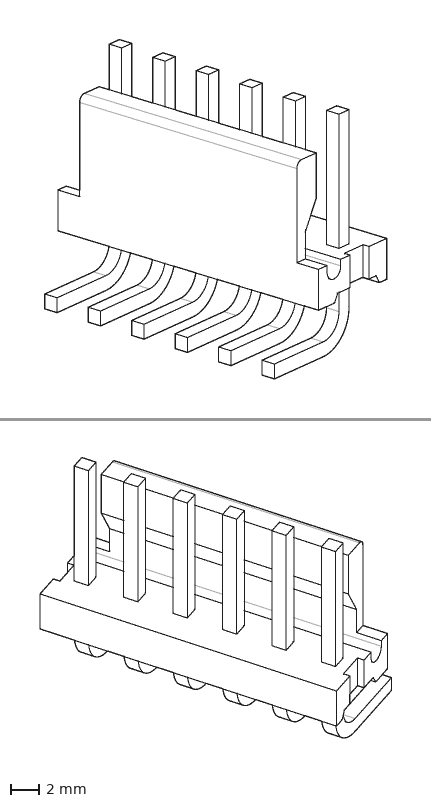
import cadquery as cq


length = 23.77
pin_count = 6
pitch = length / pin_count
pin_size = 1.15
pin_distance = 3.05
pin_top_z = 13.3
pin_height = 17.9
pin_reach = 10.8
bend_inner_radius = 1.75

base_depth = 7.6
base_height = 3.11
recess_height = 0.65
back_foot_bottom = 0.83
back_foot_top = 1.2
front_foot_bottom = 1.78
front_foot_top = 2.15

notch_width = 2.1
notch_depth = 0.52

wall_top_z = 10.8
wall_length = length - pitch
neck_thickness = 0.95
head_thickness = 2.19
head_height = 3.42
ramp_height = 2.2
wall_round = 0.52

groove_width = 1.52
groove_depth = 1.25

front_y = -base_depth
neck_y = front_y + neck_thickness
groove_back_y = neck_y + groove_width
pin_y = -pin_distance


def extrude_along_row(profile, width):
    """Extrude a closed YZ profile to the given width, centred on X = 0."""
    return profile.extrude(width / 2, both=True)


def make_base():
    groove_radius = groove_width / 2
    groove_centre_z = base_height - groove_depth + groove_radius
    profile = (
        cq.Workplane("YZ")
        .moveTo(0, 0)
        .lineTo(0, base_height)
        .lineTo(groove_back_y, base_height)
        .lineTo(groove_back_y, groove_centre_z)
        .threePointArc((neck_y + groove_radius, base_height - groove_depth), (neck_y, groove_centre_z))
        .lineTo(neck_y, base_height)
        .lineTo(front_y, base_height)
        .lineTo(front_y, 0)
        .lineTo(front_y + front_foot_bottom, 0)
        .lineTo(front_y + front_foot_top, recess_height)
        .lineTo(-back_foot_top, recess_height)
        .lineTo(-back_foot_bottom, 0)
        .close()
    )
    base = extrude_along_row(profile, length)
    end_notches = (
        cq.Workplane("XY")
        .pushPoints([(-length / 2, pin_y), (length / 2, pin_y)])
        .rect(2 * notch_depth, notch_width)
        .extrude(base_height)
    )
    return base.cut(end_notches)


def make_wall():
    head_y = front_y + head_thickness
    head_bottom_z = wall_top_z - head_height
    profile = (
        cq.Workplane("YZ")
        .moveTo(front_y, base_height)
        .lineTo(front_y, wall_top_z - wall_round)
        .radiusArc((front_y + wall_round, wall_top_z), wall_round)
        .lineTo(head_y, wall_top_z)
        .lineTo(head_y, head_bottom_z)
        .lineTo(neck_y, head_bottom_z - ramp_height)
        .lineTo(neck_y, base_height)
        .close()
    )
    return extrude_along_row(profile, wall_length)


def make_pin():
    back_y = pin_y + pin_size / 2
    inner_y = back_y - pin_size
    bottom_z = pin_top_z - pin_height
    tail_top_z = bottom_z + pin_size
    bend_outer_radius = bend_inner_radius + pin_size
    bend_y = inner_y - bend_inner_radius
    bend_z = tail_top_z + bend_inner_radius
    profile = (
        cq.Workplane("YZ")
        .moveTo(back_y, pin_top_z)
        .lineTo(back_y, bend_z)
        .radiusArc((bend_y, bottom_z), bend_outer_radius)
        .lineTo(-pin_reach, bottom_z)
        .lineTo(-pin_reach, tail_top_z)
        .lineTo(bend_y, tail_top_z)
        .radiusArc((inner_y, bend_z), -bend_inner_radius)
        .lineTo(inner_y, pin_top_z)
        .close()
    )
    return extrude_along_row(profile, pin_size)


result = make_base().union(make_wall())
pin = make_pin()
for index in range(pin_count):
    pin_x = (index - (pin_count - 1) / 2) * pitch
    result = result.union(pin.translate((pin_x, 0, 0)))